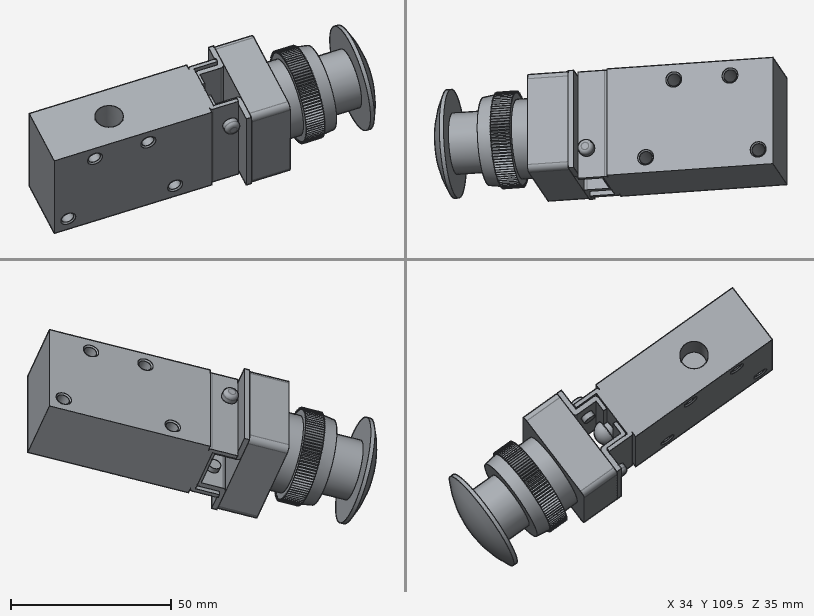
import cadquery as cq
import math


BODY_WIDTH = 20.9
BODY_HEIGHT = 35.0
BODY_LENGTH = 53.0
CORE_WIDTH = 18.8
CORE_END = 54.5
ARM_END = 62.4
ARM_ROOT_RADIUS = 0.9

HOLE_DIAMETER = 4.0
HOLE_MOUTH_DIAMETER = 5.0
HOLE_CENTER_Y = 22.7
HOLE_PITCH_UPPER = 18.0
HOLE_PITCH_LOWER = 2 * HOLE_PITCH_UPPER
HOLE_PITCH_Z = 25.0
PORT_FLOOR_DIAMETER = 8.0
PORT_MOUTH_DIAMETER = 8.9
PORT_DEPTH = 11.0

BRACKET_OUTER_WIDTH = 16.2
BRACKET_THICKNESS = 1.6
BRACKET_OPENING = BRACKET_OUTER_WIDTH - 2 * BRACKET_THICKNESS
BRACKET_BASE_THICKNESS = 1.3
BRACKET_HEIGHT = 32.0
FLANGE_WIDTH = 31.5
FLANGE_TOP = 64.2
BEND_RADIUS = 1.2

NECK_DIAMETER = 5.0
BALL_DIAMETER = 8.0
BALL_CENTER_Y = 56.5

RIVET_Y = 59.6
RIVET_Z = 8.0
RIVET_DIAMETER = 4.2
RIVET_INNER_X = 4.6
RIVET_HEAD_DIAMETER = 5.0
RIVET_FLAT_DIAMETER = 2.4
RIVET_OUTER_X = 12.3

BOX_SIDE = 32.2
BOX_TOP = 77.1
BOX_CORNER_RADIUS = 2.0

COLLAR_DIAMETER = 25.0
KNURL_START = 83.0
KNURL_END = 89.2
KNURL_DIAMETER = 30.2
KNURL_ROOT_DIAMETER = 28.9
TOOTH_COUNT = 96
CONE_END = 93.6
CONE_END_DIAMETER = 27.6
STEM_DIAMETER = 19.3
BUTTON_START = 103.7
RIM_END = 105.0
BUTTON_DIAMETER = 34.0
CROWN_END = 109.5


def block(width, start, end, height):
    """Box centred on X and Z, running from start to end along Y."""
    return cq.Workplane("XY").box(width, end - start, height).translate((0, (start + end) / 2, 0))


def cylinder_y(diameter, start, end):
    """Cylinder on the main axis from start to end along Y."""
    return cq.Workplane("XZ", origin=(0, start, 0)).circle(diameter / 2).extrude(start - end)


def countersink(hole_diameter, mouth_diameter):
    """Cutter with its wide end at the origin, narrowing along +Z at 45 degrees."""
    hole_radius = hole_diameter / 2
    mouth_radius = mouth_diameter / 2
    depth = mouth_radius - hole_radius
    return cq.Workplane(cq.Solid.makeCone(mouth_radius, hole_radius, depth))


def make_body():
    body = block(BODY_WIDTH, 0, BODY_LENGTH, BODY_HEIGHT)
    core = block(CORE_WIDTH, BODY_LENGTH, ARM_END, BODY_HEIGHT)
    core = core.cut(block(BRACKET_OUTER_WIDTH, CORE_END, ARM_END, BODY_HEIGHT))
    core = core.edges("|Z and <Y").fillet(ARM_ROOT_RADIUS)
    return body.union(core)


def cut_cross_holes(body):
    half_width = BODY_WIDTH / 2
    mouth = countersink(HOLE_DIAMETER, HOLE_MOUTH_DIAMETER)
    for row, pitch in ((1, HOLE_PITCH_UPPER), (-1, HOLE_PITCH_LOWER)):
        for step in (-1, 1):
            y = HOLE_CENTER_Y + step * pitch / 2
            z = row * HOLE_PITCH_Z / 2
            start = cq.Workplane("YZ", origin=(-half_width, y, z))
            body = body.cut(start.circle(HOLE_DIAMETER / 2).extrude(BODY_WIDTH))
            for side in (-1, 1):
                turned = mouth.rotate((0, 0, 0), (0, 1, 0), -side * 90)
                body = body.cut(turned.translate((side * half_width, y, z)))
    return body


def cut_port(body):
    """Blind port in the top face, narrowing slightly towards its flat floor."""
    port = cq.Solid.makeCone(
        PORT_MOUTH_DIAMETER / 2,
        PORT_FLOOR_DIAMETER / 2,
        PORT_DEPTH,
        pnt=cq.Vector(0, HOLE_CENTER_Y, BODY_HEIGHT / 2),
        dir=cq.Vector(0, 0, -1),
    )
    return body.cut(cq.Workplane(port))


def fillet_top_bends(bracket):
    """Round the two edges where the legs turn outward into the flange."""
    for side in (-1, 1):
        edge_point = (side * BRACKET_OPENING / 2, FLANGE_TOP, 0)
        bracket = bracket.edges(cq.selectors.NearestToPointSelector(edge_point)).fillet(BEND_RADIUS)
    return bracket


def make_bracket():
    base_top = CORE_END + BRACKET_BASE_THICKNESS
    legs = block(BRACKET_OUTER_WIDTH, CORE_END, FLANGE_TOP, BRACKET_HEIGHT)
    legs = legs.edges("|Z and <Y").fillet(BEND_RADIUS)
    flange = block(FLANGE_WIDTH, ARM_END, FLANGE_TOP, BRACKET_HEIGHT)
    opening = block(BRACKET_OPENING, base_top, FLANGE_TOP, BRACKET_HEIGHT)
    bracket = legs.union(flange).cut(opening)
    bracket = fillet_top_bends(bracket)
    slot = block(NECK_DIAMETER, CORE_END, base_top, BRACKET_HEIGHT / 2).translate((0, 0, BRACKET_HEIGHT / 4))
    return bracket.cut(slot)


def make_plunger():
    neck = cylinder_y(NECK_DIAMETER, BODY_LENGTH, BALL_CENTER_Y)
    ball = cq.Workplane("XY").sphere(BALL_DIAMETER / 2).translate((0, BALL_CENTER_Y, 0))
    dome = ball.intersect(block(BALL_DIAMETER, BALL_CENTER_Y, BALL_CENTER_Y + BALL_DIAMETER, BALL_DIAMETER))
    return neck.union(dome)


def make_rivet(side):
    """Round-edged head outside the arm and a plain shank reaching inward; side is -1 or 1 along X."""
    round_radius = (RIVET_HEAD_DIAMETER - RIVET_FLAT_DIAMETER) / 2
    head_start = CORE_WIDTH / 2
    shank = cq.Workplane("YZ").circle(RIVET_DIAMETER / 2).extrude(head_start - RIVET_INNER_X)
    head = cq.Workplane("YZ").circle(RIVET_HEAD_DIAMETER / 2).extrude(RIVET_OUTER_X - head_start)
    head = head.faces(">X").edges().fillet(round_radius)
    rivet = shank.translate((RIVET_INNER_X, 0, 0)).union(head.translate((head_start, 0, 0)))
    rivet = rivet.translate((0, RIVET_Y, RIVET_Z))
    if side < 0:
        rivet = rivet.rotate((0, 0, 0), (0, 1, 0), 180)
    return rivet


def make_cap_box():
    return block(BOX_SIDE, FLANGE_TOP, BOX_TOP, BOX_SIDE).edges("|Y").fillet(BOX_CORNER_RADIUS)


def make_button():
    rise = CROWN_END - RIM_END
    rim_radius = BUTTON_DIAMETER / 2
    crown_radius = (rim_radius**2 + rise**2) / (2 * rise)
    mid_x = rim_radius / 2
    mid_y = CROWN_END - crown_radius + math.sqrt(crown_radius**2 - mid_x**2)
    profile = (
        cq.Workplane("XY")
        .moveTo(0, BOX_TOP)
        .lineTo(COLLAR_DIAMETER / 2, BOX_TOP)
        .lineTo(COLLAR_DIAMETER / 2, KNURL_START)
        .lineTo(KNURL_ROOT_DIAMETER / 2, KNURL_START)
        .lineTo(KNURL_ROOT_DIAMETER / 2, KNURL_END)
        .lineTo(CONE_END_DIAMETER / 2, CONE_END)
        .lineTo(STEM_DIAMETER / 2, CONE_END)
        .lineTo(STEM_DIAMETER / 2, BUTTON_START)
        .lineTo(rim_radius, BUTTON_START)
        .lineTo(rim_radius, RIM_END)
        .threePointArc((mid_x, mid_y), (0, CROWN_END))
        .close()
    )
    return profile.revolve(360, (0, 0, 0), (0, 1, 0))


def make_knurl():
    """Grip ring with evenly spaced straight V-shaped teeth."""
    points = []
    for index in range(2 * TOOTH_COUNT):
        diameter = KNURL_DIAMETER if index % 2 == 0 else KNURL_ROOT_DIAMETER
        angle = math.pi * index / TOOTH_COUNT
        points.append((diameter / 2 * math.cos(angle), diameter / 2 * math.sin(angle)))
    outline = cq.Workplane("XZ", origin=(0, KNURL_START, 0)).polyline(points).close()
    return outline.extrude(KNURL_START - KNURL_END)


result = cut_port(cut_cross_holes(make_body()))
result = result.union(make_bracket()).union(make_plunger())
result = result.union(make_rivet(-1)).union(make_rivet(1))
result = result.union(make_cap_box())
result = result.union(make_button().union(make_knurl()))